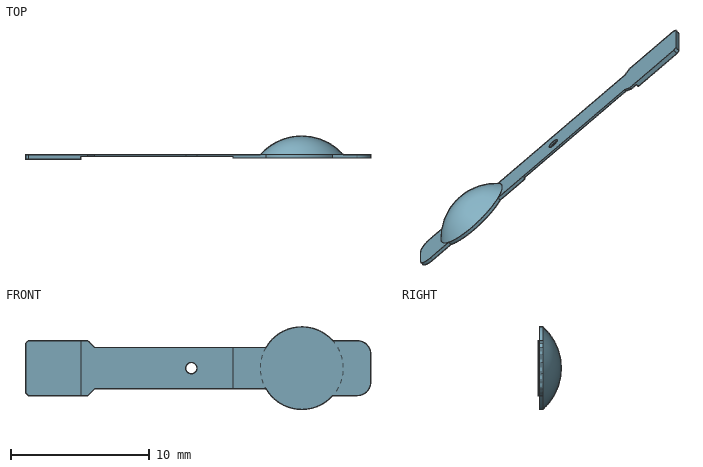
import cadquery as cq

length = 25.0
pad_length = 4.0
pad_width = 4.0
pad_corner_chamfer = 0.2
shoulder_start = 4.5
shoulder_end = 5.0
neck_width = 3.0
tip_width = 4.0
tip_corner_radius = 1.0
disc_diameter = 6.0
disc_x = 20.0

neck_thickness = 0.15
head_thickness = 0.25
pad_thickness = 0.35
head_start = 15.0

total_depth = 1.7
dome_height = total_depth - pad_thickness
hole_diameter = 0.8
hole_x = 12.0


def plate(x_start, x_end, width, thickness):
    """Rectangular plate lying in front of the back plane (toward -Y)."""
    span = x_end - x_start
    return cq.Workplane("XY").box(span, thickness, width).translate(
        ((x_start + x_end) / 2, -thickness / 2, 0)
    )


def make_pad():
    pad = plate(0, pad_length, pad_width, pad_thickness)
    return pad.edges("|Y and <X").chamfer(pad_corner_chamfer)


def make_neck():
    """Thin strip that narrows from the pad through sloped shoulders."""
    shoulder = (
        cq.Workplane("XZ")
        .moveTo(pad_length, -pad_width / 2)
        .lineTo(shoulder_start, -pad_width / 2)
        .lineTo(shoulder_end, -neck_width / 2)
        .lineTo(shoulder_end, neck_width / 2)
        .lineTo(shoulder_start, pad_width / 2)
        .lineTo(pad_length, pad_width / 2)
        .close()
        .extrude(neck_thickness)
    )
    return shoulder.union(plate(shoulder_end, head_start, neck_width, neck_thickness))


def make_head():
    """Thicker end: strip, round disc and rounded tip."""
    strip = plate(head_start, disc_x, neck_width, head_thickness)
    tip = plate(disc_x, length, tip_width, head_thickness)
    tip = tip.edges("|Y and >X").fillet(tip_corner_radius)
    disc = (
        cq.Workplane("XZ")
        .center(disc_x, 0)
        .circle(disc_diameter / 2)
        .extrude(head_thickness)
    )
    return strip.union(tip).union(disc)


def make_dome():
    """Spherical cap on the back of the disc."""
    base_radius = disc_diameter / 2
    sphere_radius = (base_radius**2 + dome_height**2) / (2 * dome_height)
    sphere_y = dome_height - sphere_radius
    half_chord = base_radius / 2
    middle_y = sphere_y + (sphere_radius**2 - half_chord**2) ** 0.5
    return (
        cq.Workplane("XY")
        .moveTo(disc_x, 0)
        .lineTo(disc_x - base_radius, 0)
        .threePointArc((disc_x - half_chord, middle_y), (disc_x, dome_height))
        .close()
        .revolve(360, (disc_x, 0, 0), (disc_x, 1, 0))
    )


def make_hole():
    return (
        cq.Workplane("XZ")
        .center(hole_x, 0)
        .circle(hole_diameter / 2)
        .extrude(neck_thickness)
    )


result = make_pad().union(make_neck()).union(make_head()).union(make_dome()).cut(make_hole())